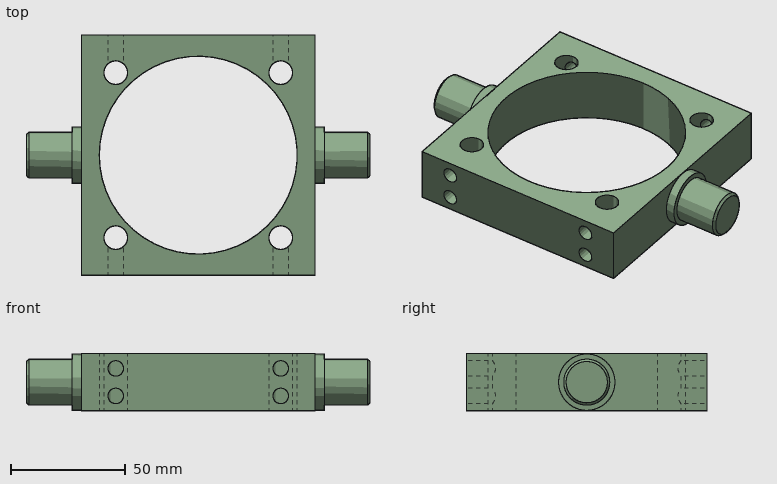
import cadquery as cq

body_x = 102.0
body_y = 105.0
height = 25.0
bore_diameter = 86.2

overall_length = 150.0
collar_diameter = 24.6
collar_width = 4.0
pin_diameter = 20.1
pin_chamfer = 1.0

corner_hole_diameter = 10.2
corner_hole_offset = 36.0
side_hole_diameter = 6.8
side_hole_spacing = 12.0


def make_body():
    """Block with a large central bore."""
    return (
        cq.Workplane("XY")
        .box(body_x, body_y, height)
        .faces(">Z")
        .workplane()
        .hole(bore_diameter)
    )


def make_trunnion(side):
    """Collar and chamfered pin on the +X (side = 1) or -X (side = -1) face."""
    face_x = body_x / 2
    pin_length = overall_length / 2 - face_x - collar_width
    collar = (
        cq.Workplane("YZ", origin=(side * face_x, 0, 0))
        .circle(collar_diameter / 2)
        .extrude(side * collar_width)
    )
    pin = (
        cq.Workplane("YZ", origin=(side * (face_x + collar_width), 0, 0))
        .circle(pin_diameter / 2)
        .extrude(side * pin_length)
        .faces(">X" if side > 0 else "<X")
        .chamfer(pin_chamfer)
    )
    return collar.union(pin)


def make_corner_holes():
    """Four vertical through holes."""
    return (
        cq.Workplane("XY")
        .rect(2 * corner_hole_offset, 2 * corner_hole_offset, forConstruction=True)
        .vertices()
        .circle(corner_hole_diameter / 2)
        .extrude(height, both=True)
    )


def make_side_holes(side):
    """Holes from the +Y (side = 1) or -Y (side = -1) face into the corner holes."""
    return (
        cq.Workplane("XZ", origin=(0, side * body_y / 2, 0))
        .rect(2 * corner_hole_offset, side_hole_spacing, forConstruction=True)
        .vertices()
        .circle(side_hole_diameter / 2)
        .extrude(side * (body_y / 2 - corner_hole_offset))
    )


result = make_body().cut(make_corner_holes())
for side in (-1, 1):
    result = result.union(make_trunnion(side))
    result = result.cut(make_side_holes(side))